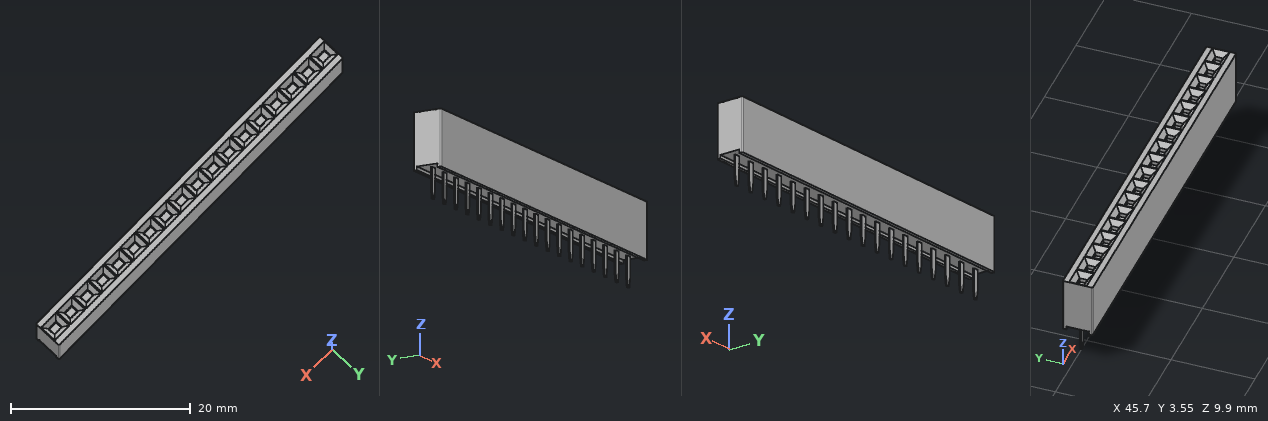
import cadquery as cq

length = 45.7
width = 3.55
total_height = 9.9
pin_drop = 3.2
housing_height = total_height - pin_drop
corner_radius = 0.15

contact_count = 18
pitch = length / contact_count

rail_width = 0.45
rail_height = 0.4
channel_roof = pin_drop + rail_height

hole_length = 1.2
hole_width = 0.9
hole_depth = 1.1
flare = 0.6
mouth_length = hole_length + 2 * flare
mouth_width = hole_width + 2 * flare

pin_width = 0.7
pin_thickness = 0.2
tip_width = 0.3
tip_length = 1.1


def make_housing():
    block = (
        cq.Workplane("XY")
        .workplane(offset=pin_drop)
        .rect(length, width)
        .extrude(housing_height)
        .edges("|Z")
        .fillet(corner_radius)
    )
    channel = (
        cq.Workplane("XY")
        .workplane(offset=pin_drop)
        .rect(length, width - 2 * rail_width)
        .extrude(rail_height)
    )
    return block.cut(channel)


def make_socket():
    mouth = (
        cq.Workplane("XY")
        .workplane(offset=total_height)
        .rect(mouth_length, mouth_width)
        .workplane(offset=-flare)
        .rect(hole_length, hole_width)
        .loft(ruled=True)
    )
    hole = (
        cq.Workplane("XY")
        .workplane(offset=total_height - hole_depth)
        .rect(hole_length, hole_width)
        .extrude(hole_depth - flare)
    )
    return mouth.union(hole)


def make_pin():
    return (
        cq.Workplane("XZ")
        .moveTo(-tip_width / 2, 0)
        .lineTo(tip_width / 2, 0)
        .lineTo(pin_width / 2, tip_length)
        .lineTo(pin_width / 2, channel_roof)
        .lineTo(-pin_width / 2, channel_roof)
        .lineTo(-pin_width / 2, tip_length)
        .close()
        .extrude(pin_thickness / 2, both=True)
    )


result = make_housing()
socket = make_socket()
pin = make_pin()
for index in range(contact_count):
    contact_x = (index - (contact_count - 1) / 2) * pitch
    result = result.cut(socket.translate((contact_x, 0, 0)))
    result = result.union(pin.translate((contact_x, 0, 0)))